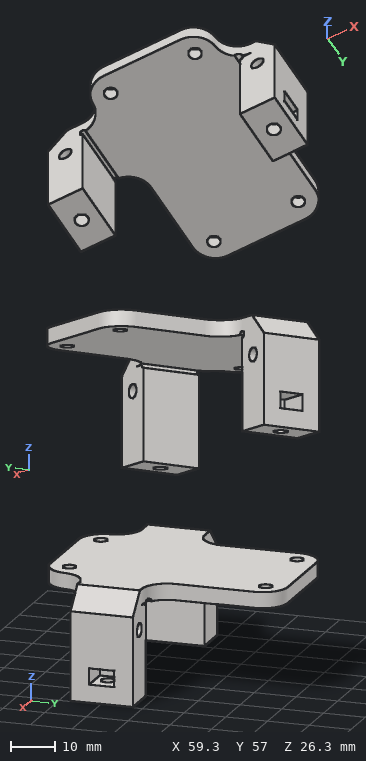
import cadquery as cq

length = 59.3
depth = 57.0
height = 26.25

plate_thickness = 3.85
plate_width = 32.0
plate_center_x = 1.3
corner_radius = 6.0
mount_hole_diameter = 3.0
mount_hole_inset = 5.0

leg_thickness = 9.1
leg_width = 15.0
leg_front = 11.1
leg_chamfer = 5.0
relief_diameter = 1.5

screw_diameter = 3.2
cross_hole_height = 17.0
slot_width = 6.0
slot_height = 3.85
slot_bottom = 4.3

half_length = length / 2
leg_inner_x = half_length - leg_thickness
leg_center_x = half_length - leg_thickness / 2
leg_back = leg_front + leg_width
leg_center_y = leg_front + leg_width / 2
plate_bottom = height - plate_thickness
slot_depth = leg_thickness / 2 + slot_width / 2


def make_bridge():
    """Two chamfered legs joined by a strip, as one profile extruded along Y."""
    profile = (
        cq.Workplane("XZ", origin=(0, leg_front, 0))
        .moveTo(-half_length, 0)
        .lineTo(-half_length, height - leg_chamfer)
        .lineTo(-half_length + leg_chamfer, height)
        .lineTo(half_length - leg_chamfer, height)
        .lineTo(half_length, height - leg_chamfer)
        .lineTo(half_length, 0)
        .lineTo(leg_inner_x, 0)
        .lineTo(leg_inner_x, plate_bottom)
        .lineTo(-leg_inner_x, plate_bottom)
        .lineTo(-leg_inner_x, 0)
        .close()
    )
    return profile.extrude(-leg_width)


def make_plate():
    """Plate with rounded corners that flares into the legs."""
    left = plate_center_x - plate_width / 2
    right = plate_center_x + plate_width / 2
    r = corner_radius
    front_bend = leg_front / 2
    outline = (
        cq.Workplane("XY", origin=(0, 0, plate_bottom))
        .moveTo(left + r, 0)
        .lineTo(right - r, 0)
        .radiusArc((right, front_bend), -r)
        .radiusArc((right + r, leg_front), r)
        .lineTo(right + r, leg_back)
        .radiusArc((right, leg_back + r), r)
        .lineTo(right, depth - r)
        .radiusArc((right - r, depth), -r)
        .lineTo(left + r, depth)
        .radiusArc((left, depth - r), -r)
        .lineTo(left, leg_back + r)
        .radiusArc((left - r, leg_back), r)
        .lineTo(left - r, leg_front)
        .radiusArc((left, front_bend), r)
        .radiusArc((left + r, 0), -r)
        .close()
    )
    return outline.extrude(plate_thickness)


def make_mount_holes():
    """Four holes at an equal inset from the plate edges."""
    return (
        cq.Workplane("XY", origin=(plate_center_x, depth / 2, plate_bottom))
        .rect(plate_width - 2 * mount_hole_inset, depth - 2 * mount_hole_inset, forConstruction=True)
        .vertices()
        .circle(mount_hole_diameter / 2)
        .extrude(plate_thickness)
    )


def make_leg_cuts(side):
    """Cross hole, corner relief, nut slot and foot screw hole; side is -1 or 1."""
    cross_hole = (
        cq.Workplane("XZ")
        .center(side * leg_center_x, cross_hole_height)
        .circle(screw_diameter / 2)
        .extrude(-depth)
    )
    relief = (
        cq.Workplane("XZ")
        .center(side * leg_inner_x, plate_bottom)
        .circle(relief_diameter / 2)
        .extrude(-depth)
    )
    slot_center_x = side * (half_length - slot_depth / 2)
    slot = (
        cq.Workplane("XY", origin=(slot_center_x, leg_center_y, slot_bottom))
        .rect(slot_depth, slot_width)
        .extrude(slot_height)
    )
    foot_screw = (
        cq.Workplane("XY", origin=(side * leg_center_x, leg_center_y, 0))
        .circle(screw_diameter / 2)
        .extrude(slot_bottom)
    )
    return cross_hole.union(relief).union(slot).union(foot_screw)


result = make_bridge().union(make_plate()).cut(make_mount_holes())
for side in (-1, 1):
    result = result.cut(make_leg_cuts(side))